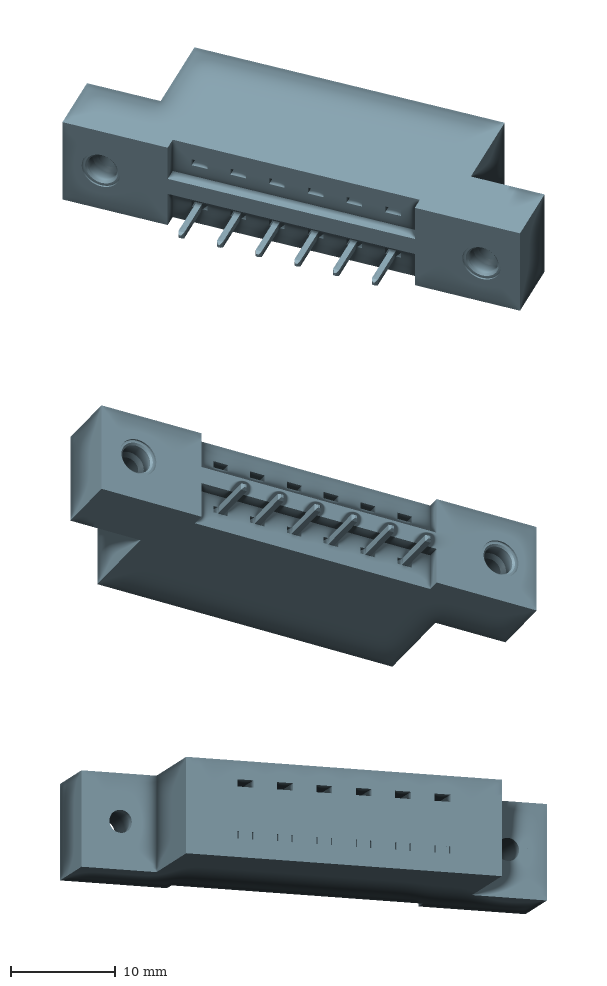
import cadquery as cq


LENGTH = 46.8
HEIGHT = 9.4
OVERALL_DEPTH = 19.05
PIN_REACH = 3.8
HOUSING_DEPTH = OVERALL_DEPTH - PIN_REACH
EAR_DEPTH = 6.4
NOSE_LENGTH = 31.72

STEP_LENGTH = 25.25
STEP_DEPTH = 1.3
RIB_HEIGHT = 1.82
STEP_HEIGHT = (HEIGHT - RIB_HEIGHT) / 2

CONTACT_COUNT = 6
CONTACT_SPAN = 19.8
CONTACT_PITCH = CONTACT_SPAN / (CONTACT_COUNT - 1)
ROW_OFFSET = 2.55
SLOT_LENGTH = 1.6
SLOT_HEIGHT = 0.7

TAIL_WIDTH = 0.6
BLADE_WIDTH = 1.3
PIN_THICKNESS = SLOT_HEIGHT
SHOULDER_START = STEP_DEPTH
SHOULDER_LENGTH = 0.95
TIP_LENGTH = 0.35
TIP_INSET = 0.2

BUSHING_SPACING = 38.95
BUSHING_RADIUS = 1.95
BUSHING_RECESS = 0.2
BORE_RADIUS = 1.1
POCKET_RADIUS = 1.5
POCKET_END = 1.7
MOUTH_CHAMFER = 0.2
CONE_LENGTH = 0.4

contact_xs = [i * CONTACT_PITCH - CONTACT_SPAN / 2 for i in range(CONTACT_COUNT)]
bushing_xs = [-BUSHING_SPACING / 2, BUSHING_SPACING / 2]


def block(length, depth, height, x=0, z=0):
    """Box centred on (x, z) that runs from the solder face to the given depth."""
    return cq.Workplane("XY").box(length, depth, height).translate((x, depth / 2, z))


def make_housing():
    ears = block(LENGTH, EAR_DEPTH, HEIGHT)
    nose = block(NOSE_LENGTH, HOUSING_DEPTH, HEIGHT)
    body = ears.union(nose)
    step_z = (RIB_HEIGHT + STEP_HEIGHT) / 2
    for side in (-1, 1):
        body = body.cut(block(STEP_LENGTH, STEP_DEPTH, STEP_HEIGHT, z=side * step_z))
        for x in contact_xs:
            body = body.cut(block(SLOT_LENGTH, HOUSING_DEPTH, SLOT_HEIGHT, x, side * ROW_OFFSET))
    bushing_holes = (
        cq.Workplane("XZ")
        .pushPoints([(x, 0) for x in bushing_xs])
        .circle(BUSHING_RADIUS)
        .extrude(-EAR_DEPTH)
    )
    return body.cut(bushing_holes)


def make_pin(x):
    """Contact pin in the lower row, centred on x."""
    tip_start = TIP_LENGTH - PIN_REACH
    shoulder_end = SHOULDER_START + SHOULDER_LENGTH
    right_side = [
        (TAIL_WIDTH / 2, tip_start),
        (TAIL_WIDTH / 2, SHOULDER_START),
        (BLADE_WIDTH / 2, shoulder_end),
        (BLADE_WIDTH / 2, HOUSING_DEPTH),
    ]
    left_side = [(-half_width, y) for half_width, y in reversed(right_side)]
    shank = (
        cq.Workplane("XY", origin=(x, 0, -ROW_OFFSET))
        .polyline(right_side + left_side)
        .close()
        .extrude(PIN_THICKNESS / 2, both=True)
    )
    tip = (
        cq.Workplane("XZ", origin=(x, tip_start, -ROW_OFFSET))
        .rect(TAIL_WIDTH, PIN_THICKNESS)
        .workplane(offset=TIP_LENGTH)
        .rect(TAIL_WIDTH - 2 * TIP_INSET, PIN_THICKNESS - 2 * TIP_INSET)
        .loft()
    )
    return shank.union(tip)


def make_bushing(x):
    """Bushing through one ear: half of its section, as (radius, Y), turned about its axis."""
    section = [
        (BORE_RADIUS, EAR_DEPTH),
        (BUSHING_RADIUS, EAR_DEPTH),
        (BUSHING_RADIUS, BUSHING_RECESS),
        (POCKET_RADIUS + MOUTH_CHAMFER, BUSHING_RECESS),
        (POCKET_RADIUS, BUSHING_RECESS + MOUTH_CHAMFER),
        (POCKET_RADIUS, POCKET_END),
        (BORE_RADIUS, POCKET_END + CONE_LENGTH),
    ]
    bushing = cq.Workplane("XY").polyline(section).close().revolve(360, (0, 0), (0, 1))
    return bushing.translate((x, 0, 0))


housing = make_housing()
pins = [make_pin(x) for x in contact_xs]
bushings = [make_bushing(x) for x in bushing_xs]

result = cq.Compound.makeCompound([
    housing.solids().val(),
    *[pin.solids().val() for pin in pins],
    *[bushing.solids().val() for bushing in bushings],
])